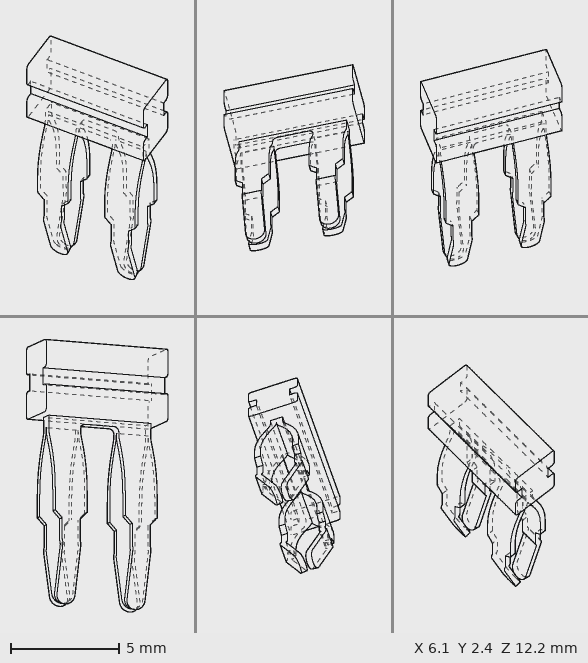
import cadquery as cq
import math

housing_length = 6.1
housing_width = 2.4
housing_height = 3.4
groove_height = 0.8
groove_depth = 0.39
housing_edge_radius = 0.2

neck_thickness = 0.6
leg_spacing = 3.51
leg_width = 1.6
tine_width = 0.9
overall_height = 12.22
contact_bottom = housing_height - overall_height
shoulder_top = -4.58
slot_top = -0.29
slot_corner_radius = 0.25

neck_height = 0.54
flare_angle = 25
flare_radius = 0.94
flare_straight = 0.44
bow_radius = 5.02
leg_straight = 2.33
kick_angle = 36
kick_radius = 0.04
tine_angle = -17.4

strip_thickness = neck_thickness / 2
half_thickness = strip_thickness / 2
tip_radius = tine_width / 2
shoulder_height = (leg_width - tine_width) / 2
contact_width = leg_spacing + leg_width
slot_width = leg_spacing - leg_width
leg_centres = (-leg_spacing / 2, leg_spacing / 2)


def offset_point(point, angle, distance):
    """Move a (outward, Z) point sideways from a strip that heads down at the given angle."""
    turn = math.radians(angle)
    return (point[0] + distance * math.cos(turn), point[1] + distance * math.sin(turn))


def advance(point, angle, length):
    """Move a (outward, Z) point along a strip that heads down at the given angle."""
    turn = math.radians(angle)
    return (point[0] + length * math.sin(turn), point[1] - length * math.cos(turn))


def bend_point(start, start_angle, angle, side, radius):
    """Point of a centre-line bend; side is 1 for an outward turn and -1 for an inward one."""
    centre = offset_point(start, start_angle, side * radius)
    return offset_point(centre, angle, -side * radius)


def make_centre_line():
    """Sections of the leg from neck to tip centre, each a list of (point, angle) stations.

    A straight section has two stations and a bend has three.
    """
    sections = []

    def add_straight(start, length):
        point, angle = start
        end = (advance(point, angle, length), angle)
        sections.append([start, end])
        return end

    def add_bend(start, inside_radius, end_angle):
        point, angle = start
        side = 1 if end_angle > angle else -1
        radius = inside_radius + half_thickness
        stations = [start]
        for stop in ((angle + end_angle) / 2, end_angle):
            stations.append((bend_point(point, angle, stop, side, radius), stop))
        sections.append(stations)
        return stations[-1]

    neck_start = ((half_thickness, 0), 0)
    station = add_straight(neck_start, neck_height)
    station = add_bend(station, flare_radius, flare_angle)
    station = add_straight(station, flare_straight)
    station = add_bend(station, bow_radius, 0)
    station = add_straight(station, leg_straight)
    station = add_bend(station, kick_radius, kick_angle)
    station = add_bend(station, kick_radius, tine_angle)

    turn = math.radians(tine_angle)
    drop = station[0][1] + half_thickness * math.sin(turn) - contact_bottom
    add_straight(station, drop / math.cos(turn) - tip_radius)
    return sections


def face_point(station, distance):
    """Point beside a station, on the end plane of the contact."""
    point, angle = station
    return cq.Vector(-contact_width / 2, *offset_point(point, angle, distance))


def face_edges(sections, distance):
    """Lines and arcs of the strip face that lies at a sideways distance from the centre line."""
    edges = []
    for stations in sections:
        points = [face_point(station, distance) for station in stations]
        if len(points) == 2:
            edges.append(cq.Edge.makeLine(*points))
        else:
            edges.append(cq.Edge.makeThreePointArc(*points))
    return edges


def make_bent_strip(sections):
    """Bent strip on the +Y side, as wide as the whole contact."""
    edges = face_edges(sections, -half_thickness) + face_edges(sections, half_thickness)
    for station in (sections[0][0], sections[-1][-1]):
        edges.append(
            cq.Edge.makeLine(face_point(station, -half_thickness), face_point(station, half_thickness))
        )
    profile = cq.Wire.combine(edges)[0]
    strip = cq.Solid.extrudeLinear(profile, [], cq.Vector(contact_width, 0, 0))
    return cq.Workplane(strip)


def make_leg_outline():
    """Block, deep along Y, that holds the front shape of the bridge, legs and tines."""
    depth = housing_width
    outline = (
        cq.Workplane("XY")
        .box(contact_width, 2 * depth, -shoulder_top, centered=(True, True, False))
        .translate((0, 0, shoulder_top))
    )
    slot = (
        cq.Workplane("XY")
        .box(slot_width, 2 * depth, -contact_bottom, centered=(True, True, False))
        .translate((0, 0, contact_bottom + slot_top))
        .edges("|Y and >Z")
        .fillet(slot_corner_radius)
    )
    outline = outline.cut(slot)
    for x in leg_centres:
        tine = (
            cq.Workplane("XZ")
            .moveTo(x - leg_width / 2, shoulder_top)
            .lineTo(x + leg_width / 2, shoulder_top)
            .lineTo(x + tine_width / 2, shoulder_top - shoulder_height)
            .lineTo(x + tine_width / 2, contact_bottom)
            .lineTo(x - tine_width / 2, contact_bottom)
            .lineTo(x - tine_width / 2, shoulder_top - shoulder_height)
            .close()
            .extrude(depth, both=True)
        )
        outline = outline.union(tine)
    return outline


def make_tip(x, tip_centre):
    """Half disc that rounds the end of a tine, with its axis square to the tine."""
    turn = math.radians(tine_angle)
    plane = cq.Plane(
        origin=(x, *tip_centre),
        xDir=(1, 0, 0),
        normal=(0, math.cos(turn), math.sin(turn)),
    )
    return (
        cq.Workplane(plane)
        .moveTo(-tip_radius, 0)
        .threePointArc((0, tip_radius), (tip_radius, 0))
        .close()
        .extrude(half_thickness, both=True)
    )


def make_contact():
    """Contact with a common neck, from which each of the two legs forks into a pair of mirrored springs."""
    sections = make_centre_line()
    rear_half = make_bent_strip(sections).intersect(make_leg_outline())
    tip_centre = sections[-1][-1][0]
    for x in leg_centres:
        rear_half = rear_half.union(make_tip(x, tip_centre))
    return rear_half.union(rear_half.mirror("XZ")).clean()


def make_housing():
    """Grooved block with its outer long edges rounded."""
    block = cq.Workplane("XY").box(
        housing_length, housing_width, housing_height, centered=(True, True, False)
    )
    for side in (-1, 1):
        groove = cq.Workplane("XY").box(housing_length, 2 * groove_depth, groove_height)
        block = block.cut(groove.translate((0, side * housing_width / 2, housing_height / 2)))
    return block.edges("|X and (<Y or >Y)").fillet(housing_edge_radius)


housing = make_housing()
contact = make_contact()

result = cq.Compound.makeCompound([housing.val(), contact.val()])